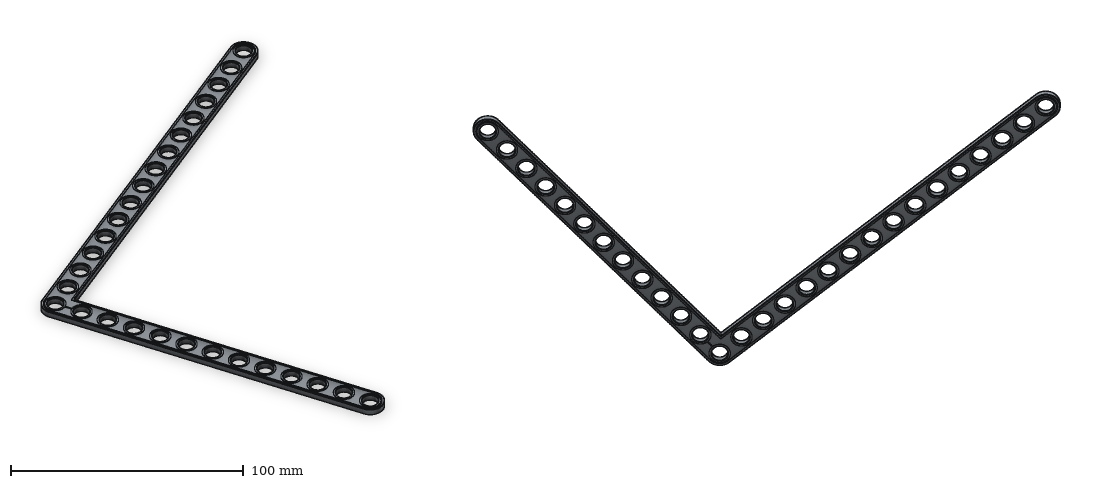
import cadquery as cq
import math

length_y = 200.0
holes_x = 13
holes_y = 16
thickness = 3.2
hole_diameter = 7.0
boss_diameter = 9.2
edge_chamfer = 0.3
rim_width = 1.1
recess_depth = 0.25
rib_width = 0.5

pitch = length_y / holes_y
half_width = pitch / 2
reach_x = (holes_x - 1) * pitch
reach_y = (holes_y - 1) * pitch
top = thickness / 2

hole_centres = [(i * pitch, 0) for i in range(holes_x)]
hole_centres += [(0, i * pitch) for i in range(1, holes_y)]


def angle_prism(radius, bottom, height):
    """L-shaped prism reaching `radius` from the hole lines, with round ends and outer corner."""
    diagonal = radius * math.sqrt(0.5)
    return (
        cq.Workplane("XY", origin=(0, 0, bottom))
        .moveTo(0, -radius)
        .lineTo(reach_x, -radius)
        .threePointArc((reach_x + radius, 0), (reach_x, radius))
        .lineTo(radius, radius)
        .lineTo(radius, reach_y)
        .threePointArc((0, reach_y + radius), (-radius, reach_y))
        .lineTo(-radius, 0)
        .threePointArc((-diagonal, -diagonal), (0, -radius))
        .close()
        .extrude(height)
    )


def top_recess():
    """Shallow recess inside the rim, leaving a ring around each hole and a rib by the corner hole."""
    floor = top - recess_depth
    plane = cq.Workplane("XY", origin=(0, 0, floor))
    rings = plane.pushPoints(hole_centres).circle(boss_diameter / 2).extrude(recess_depth)
    rib = plane.center(pitch / 2, 0).rect(pitch, rib_width).extrude(recess_depth)
    return angle_prism(half_width - rim_width, floor, recess_depth).cut(rings).cut(rib)


def hole_cutters():
    """Through bores with a small chamfer at both faces."""
    bore = hole_diameter / 2
    mouth = bore + edge_chamfer
    bore_end = top - edge_chamfer
    cutter = (
        cq.Workplane("XZ")
        .moveTo(0, -top)
        .lineTo(mouth, -top)
        .lineTo(bore, -bore_end)
        .lineTo(bore, bore_end)
        .lineTo(mouth, top)
        .lineTo(0, top)
        .close()
        .revolve(360, (0, 0), (0, 1))
        .val()
    )
    return cq.Workplane("XY").pushPoints(hole_centres).eachpoint(lambda place: cutter.moved(place))


plate = angle_prism(half_width, -top, thickness).faces("|Z").edges().chamfer(edge_chamfer)

recess = top_recess()
plate = plate.cut(recess).cut(recess.mirror("XY"))

result = plate.cut(hole_cutters())